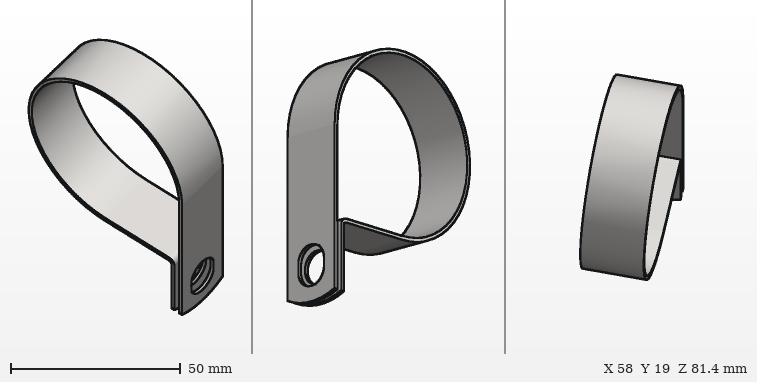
import cadquery as cq
import math

total_height = 81.4
loop_diameter = 58.0
strip_width = 19.0
thickness = 1.2

leg_gap = 1.6
bend_outer_radius = 2.2
hole_diameter = 10.3
slot_length = 12.8
hole_height = 11.15
tip_rise = 2.1

outer_radius = loop_diameter / 2
inner_radius = outer_radius - thickness
tip_z = outer_radius - total_height
leg_outer_x = inner_radius - leg_gap
leg_inner_x = leg_outer_x - thickness
bend_inner_radius = bend_outer_radius - thickness
bend_x = leg_outer_x - bend_outer_radius
bend_z = -inner_radius - bend_outer_radius
half_width = strip_width / 2


def loop_midpoint(radius):
    """Middle of the three-quarter loop, at its upper left."""
    offset = radius / math.sqrt(2)
    return (-offset, offset)


def make_strip():
    """Side profile of the bent strip, extruded across its width."""
    return (
        cq.Workplane("XZ", origin=(0, half_width, 0))
        .moveTo(outer_radius, tip_z)
        .lineTo(outer_radius, 0)
        .threePointArc(loop_midpoint(outer_radius), (0, -outer_radius))
        .lineTo(bend_x, -outer_radius)
        .radiusArc((leg_inner_x, bend_z), bend_inner_radius)
        .lineTo(leg_inner_x, tip_z)
        .lineTo(leg_outer_x, tip_z)
        .lineTo(leg_outer_x, bend_z)
        .radiusArc((bend_x, -inner_radius), -bend_outer_radius)
        .lineTo(0, -inner_radius)
        .threePointArc(loop_midpoint(inner_radius), (inner_radius, 0))
        .lineTo(inner_radius, tip_z)
        .close()
        .extrude(strip_width)
    )


def make_envelope():
    """Prism along X whose rounded lower end shapes both leg tips."""
    return (
        cq.Workplane("YZ")
        .moveTo(-half_width, loop_diameter)
        .lineTo(-half_width, tip_z + tip_rise)
        .threePointArc((0, tip_z), (half_width, tip_z + tip_rise))
        .lineTo(half_width, loop_diameter)
        .close()
        .extrude(loop_diameter, both=True)
    )


def leg_hole_plane(start_x):
    """Workplane facing +X at bolt height."""
    return cq.Workplane("YZ", origin=(start_x, 0, tip_z + hole_height))


def make_bolt_hole():
    """Round hole through the bent leg."""
    return leg_hole_plane(leg_inner_x).circle(hole_diameter / 2).extrude(thickness)


def make_bolt_slot():
    """Upright round-ended slot through the straight leg."""
    return leg_hole_plane(inner_radius).slot2D(slot_length, hole_diameter, 90).extrude(thickness)


result = (
    make_strip()
    .intersect(make_envelope())
    .cut(make_bolt_hole())
    .cut(make_bolt_slot())
)